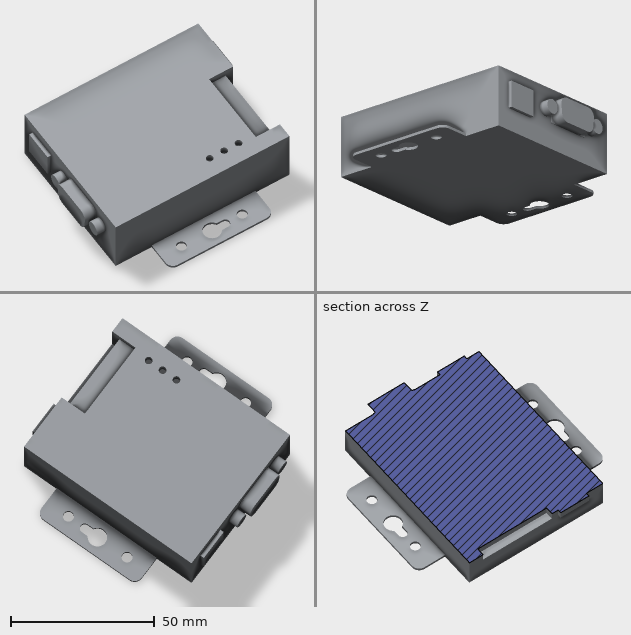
import cadquery as cq

body_width = 58.1
body_depth = 72.2
body_height = 22.6

plate_width = 82.0
plate_front = 14.9
plate_length = 43.15
plate_thickness = 1.0
plate_corner_radius = 3.0
ear_hole_x = 34.9
ear_hole_diameter = 3.85
ear_hole_spacing = 25.3
keyhole_x = 35.1
keyhole_y = 36.1
keyhole_diameter = 6.8
keyhole_slot_width = 3.45
keyhole_slot_rise = 5.5

socket_left = -23.8
socket_width = 11.7
socket_bottom = 8.3
socket_height = 9.85
socket_projection = 1.5

connector_x = 7.9
connector_bottom = 9.8
connector_height = 9.2
connector_top_width = 18.2
connector_bottom_width = 16.1
connector_corner_radius = 3.0
connector_projection = 4.7
flange_width = 17.9
flange_thickness = 0.25
post_diameter = 5.4
post_spacing = 24.0
post_z = 14.1
post_projection = 3.45

jack_left = -21.9
jack_width = 12.4
jack_bottom = 8.5
jack_height = 11.0
jack_projection = 1.5

notch_left = -6.8
notch_width = 29.8
notch_length = 10.0
notch_drop = 3.0
notch_rear_length = 3.1

light_x = 21.9
light_first_y = 43.7
light_pitch = 6.0
light_count = 3
light_diameter = 2.7
light_hole_depth = notch_drop


def box(left, front, bottom, width, length, height):
    """Box placed by its left, front, bottom corner."""
    return cq.Workplane("XY").box(width, length, height, centered=False).translate((left, front, bottom))


def front_plane():
    """Plane on the front face, with its normal pointing out of the body."""
    return cq.Workplane("XZ")


def mounting_plate():
    plate = box(-plate_width / 2, plate_front, 0, plate_width, plate_length, plate_thickness)
    plate = plate.edges("|Z").fillet(plate_corner_radius)
    for side in (-1, 1):
        holes = [(side * ear_hole_x, keyhole_y + end * ear_hole_spacing / 2) for end in (-1, 1)]
        round_holes = (
            cq.Workplane("XY").pushPoints(holes).circle(ear_hole_diameter / 2).extrude(plate_thickness)
        )
        keyhole = (
            cq.Workplane("XY")
            .center(side * keyhole_x, keyhole_y)
            .circle(keyhole_diameter / 2)
            .extrude(plate_thickness)
        )
        slot = (
            cq.Workplane("XY")
            .center(side * keyhole_x, keyhole_y + keyhole_slot_rise / 2)
            .slot2D(keyhole_slot_rise + keyhole_slot_width, keyhole_slot_width, 90)
            .extrude(plate_thickness)
        )
        plate = plate.cut(round_holes).cut(keyhole).cut(slot)
    return plate


def connector():
    """Tapered D shell on a thin flange that is rounded at the top only."""
    top = connector_bottom + connector_height
    half_top = connector_top_width / 2
    half_bottom = connector_bottom_width / 2
    shell = (
        front_plane()
        .polyline([
            (connector_x - half_bottom, connector_bottom),
            (connector_x + half_bottom, connector_bottom),
            (connector_x + half_top, top),
            (connector_x - half_top, top),
        ])
        .close()
        .extrude(connector_projection)
        .edges("|Y")
        .fillet(connector_corner_radius)
    )
    flange = box(
        connector_x - flange_width / 2, -flange_thickness, connector_bottom,
        flange_width, flange_thickness, connector_height,
    )
    flange = flange.edges("|Y and >Z").fillet(connector_corner_radius)
    return shell.union(flange)


def screw_posts():
    return (
        front_plane()
        .pushPoints([(connector_x + side * post_spacing / 2, post_z) for side in (-1, 1)])
        .circle(post_diameter / 2)
        .extrude(post_projection)
    )


def terminal_notch():
    """Shallow shelf, with a deeper step at the rear reaching down to the jack's lower edge."""
    shelf = box(
        notch_left, body_depth - notch_length, body_height - notch_drop,
        notch_width, notch_length, notch_drop,
    )
    rear_step = box(
        notch_left, body_depth - notch_rear_length, jack_bottom,
        notch_width, notch_rear_length, body_height - jack_bottom,
    )
    return shelf.union(rear_step)


def light_holes():
    return (
        cq.Workplane("XY", origin=(0, 0, body_height))
        .pushPoints([(light_x, light_first_y + i * light_pitch) for i in range(light_count)])
        .circle(light_diameter / 2)
        .extrude(-light_hole_depth)
    )


body = box(-body_width / 2, 0, 0, body_width, body_depth, body_height)
socket = box(
    socket_left, -socket_projection, socket_bottom,
    socket_width, socket_projection, socket_height,
)
jack = box(jack_left, body_depth, jack_bottom, jack_width, jack_projection, jack_height)

result = (
    body.cut(terminal_notch())
    .cut(light_holes())
    .union(mounting_plate())
    .union(socket)
    .union(connector())
    .union(screw_posts())
    .union(jack)
)